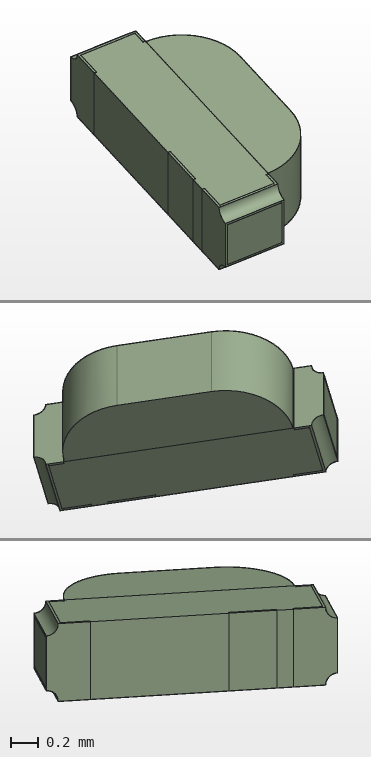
import cadquery as cq

length = 2.15
height = 0.6
depth = 1.0
base_depth = depth / 2

lens_width = 1.698
lens_radius = depth - base_depth

plating = 0.02
corner_radius = 0.088
front_plate_width = 0.325
back_plate_width = 0.22
pad_left = 0.273
pad_right = 0.625


def block(x_min, x_max, y_min, y_max):
    """Box of full height between the given X and Y limits."""
    return cq.Workplane("XY").box(x_max - x_min, y_max - y_min, height).translate(
        ((x_min + x_max) / 2, (y_min + y_max) / 2, 0)
    )


def end_corner_rods(side, radius):
    """Rods along Y, centred on the two long edges at one end of the base."""
    x = side * length / 2
    return (
        cq.Workplane("XZ")
        .pushPoints([(x, -height / 2), (x, height / 2)])
        .circle(radius)
        .extrude(-base_depth)
    )


def make_notched_envelope():
    """Base block with a concave quarter-round notch along each end corner."""
    envelope = block(-length / 2, length / 2, 0, base_depth)
    for side in (-1, 1):
        envelope = envelope.cut(end_corner_rods(side, corner_radius))
    return envelope


def make_terminal(side, envelope):
    """Front and back plates joined by the plating that lines the two notches."""
    end = side * length / 2
    front_inner = end - side * front_plate_width
    back_inner = end - side * back_plate_width
    front_plate = block(min(end, front_inner), max(end, front_inner), 0, plating)
    back_plate = block(min(end, back_inner), max(end, back_inner), base_depth - plating, base_depth)
    notch_lining = end_corner_rods(side, corner_radius + plating)
    return front_plate.union(back_plate).union(notch_lining).intersect(envelope)


def make_polarity_pad():
    """Off-centre metal pad set flush into the front face."""
    return block(pad_left, pad_right, 0, plating)


def make_substrate(envelope, inlays):
    """Base block with a matching recess for every metal inlay."""
    substrate = envelope
    for inlay in inlays:
        substrate = substrate.cut(inlay)
    return substrate


def make_lens():
    """Full-height lens on the back face, with its two outer corners rounded."""
    half_width = lens_width / 2
    lens = block(-half_width, half_width, base_depth, depth)
    outline = (
        cq.Workplane("XY", origin=(0, base_depth, -height / 2))
        .slot2D(lens_width, 2 * lens_radius)
        .extrude(height)
    )
    return lens.intersect(outline)


notched_envelope = make_notched_envelope()
terminals = [make_terminal(side, notched_envelope) for side in (-1, 1)]
polarity_pad = make_polarity_pad()
substrate = make_substrate(notched_envelope, [*terminals, polarity_pad])
lens = make_lens()

result = cq.Compound.makeCompound(
    [
        substrate.solids().val(),
        lens.solids().val(),
        polarity_pad.val(),
        *[terminal.solids().val() for terminal in terminals],
    ]
)